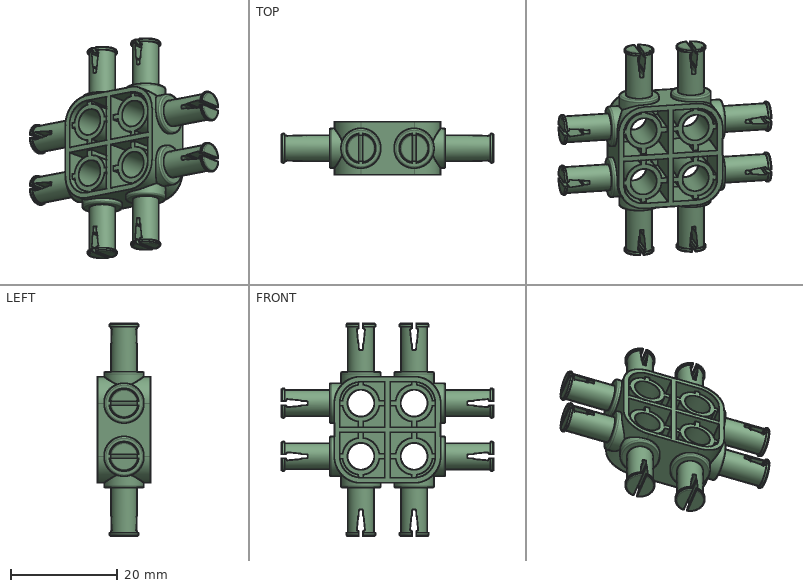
import cadquery as cq

span = 39.98
pitch = 10.0
block_side = 2 * pitch
block_depth = 10.0
corner_radius = pitch / 2
wall = 1.0

hole_diameter = 5.0
tube_diameter = 6.95
rib_width = 0.95
tube_recess = 0.85
floor_thickness = wall

pin_diameter = 4.95
collar_diameter = 7.5
collar_height = 0.88
collar_fillet = 0.3
head_height = 0.65
head_rim_diameter = 5.3
head_bulge = 0.14
head_fillet = 0.2

slot_half_width = 0.35
slot_wide_half_width = 0.74
slot_taper_half_width = 0.5
slot_neck_depth = 0.88
slot_wide_depth = 1.1
slot_taper_depth = 3.65
slot_straight_depth = 3.9
slot_depth = 5.0
slot_floor_fillet = 0.25

tip = span / 2
collar_top = block_side / 2 + collar_height
pin_root = pitch / 2
front_face = -block_depth / 2
grid_places = [-pitch / 2, pitch / 2]
hole_centers = [(x, z) for x in grid_places for z in grid_places]


def extrude_along_y(profile, depth):
    """Extrude an XZ-plane profile toward +Y (the XZ workplane normal points to -Y)."""
    return profile.extrude(-depth)


def plane_at(y):
    """XZ workplane at the given Y, with local axes along X and Z."""
    return cq.Workplane("XZ", origin=(0, y, 0))


def rounded_square(side, radius, y_start, depth):
    square = extrude_along_y(plane_at(y_start).rect(side, side), depth)
    return square.edges("|Y").fillet(radius)


def make_pin():
    """A pin on the Z axis with its collar, bulged head and slotted tip."""
    pin_radius = pin_diameter / 2
    collar_radius = collar_diameter / 2
    rim_radius = head_rim_diameter / 2
    head_base = tip - head_height
    fillet_start = tip - head_fillet
    profile = (
        cq.Workplane("XZ")
        .moveTo(0, pin_root)
        .lineTo(collar_radius, pin_root)
        .lineTo(collar_radius, collar_top - collar_fillet)
        .radiusArc((collar_radius - collar_fillet, collar_top), -collar_fillet)
        .lineTo(pin_radius, collar_top)
        .lineTo(pin_radius, head_base)
        .lineTo(rim_radius, head_base)
        .threePointArc((rim_radius + head_bulge, (head_base + fillet_start) / 2), (rim_radius, fillet_start))
        .radiusArc((rim_radius - head_fillet, tip), -head_fillet)
        .lineTo(0, tip)
        .close()
    )
    pin = profile.revolve(360, (0, 0, 0), (0, 1, 0))
    return pin.cut(make_slot())


def make_slot():
    """Slot through the pin along Y: narrow at the tip, widest below the head, tapering inward."""
    right_side = [
        (slot_half_width, tip),
        (slot_half_width, tip - slot_neck_depth),
        (slot_wide_half_width, tip - slot_wide_depth),
        (slot_taper_half_width, tip - slot_taper_depth),
        (slot_half_width, tip - slot_straight_depth),
        (slot_half_width, tip - slot_depth),
    ]
    left_side = [(-x, z) for x, z in reversed(right_side)]
    outline = plane_at(-collar_diameter / 2).polyline(right_side + left_side).close()
    slot = extrude_along_y(outline, collar_diameter)
    return slot.faces("<Z").edges("|Y").fillet(slot_floor_fillet)


def make_all_pins():
    """Two pins on each of the four edges of the block."""
    pin = make_pin()
    pins = []
    for quarter_turn in range(4):
        for x in grid_places:
            placed = pin.translate((x, 0, 0)).rotate((0, 0, 0), (0, 1, 0), 90 * quarter_turn)
            pins.append(placed)
    return pins


def make_cavity():
    """The four pockets, split by a cross-shaped partition and open toward -Y."""
    depth = block_depth - floor_thickness
    inside = block_side - 2 * wall
    cavity = rounded_square(inside, corner_radius - wall, front_face, depth)
    level_partition = extrude_along_y(plane_at(front_face).rect(inside, wall), depth)
    upright_partition = extrude_along_y(plane_at(front_face).rect(wall, inside), depth)
    return cavity.cut(level_partition).cut(upright_partition)


def make_tubes():
    """A tube around each hole, tied to the pocket walls by four ribs."""
    start = front_face + tube_recess
    depth = block_depth - tube_recess
    rib_span = pitch - wall
    centers = plane_at(start).pushPoints(hole_centers)
    tubes = extrude_along_y(centers.circle(tube_diameter / 2), depth)
    level_ribs = extrude_along_y(centers.rect(rib_span, rib_width), depth)
    upright_ribs = extrude_along_y(centers.rect(rib_width, rib_span), depth)
    return tubes.union(level_ribs).union(upright_ribs)


block = rounded_square(block_side, corner_radius, front_face, block_depth)
for placed_pin in make_all_pins():
    block = block.union(placed_pin)
block = block.cut(make_cavity()).union(make_tubes())
holes = extrude_along_y(plane_at(front_face).pushPoints(hole_centers).circle(hole_diameter / 2), block_depth)
result = block.cut(holes)